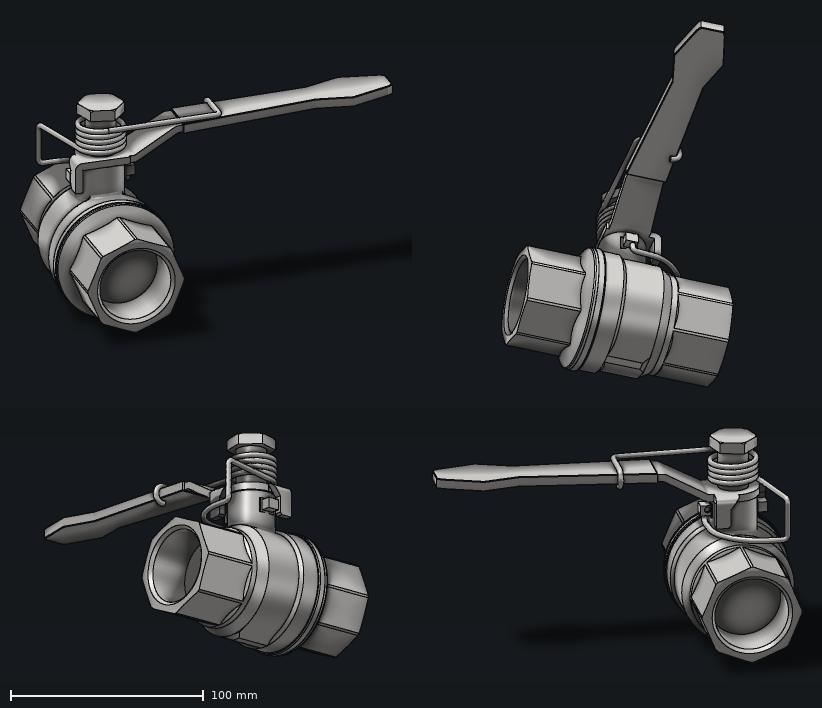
import cadquery as cq
import math


BODY_LEFT = -52.4
BODY_LENGTH = 110.0
BODY_RIGHT = BODY_LEFT + BODY_LENGTH
END_CORNER_RADIUS = 53.0 / 2
END_CORNER_STRIP = 1.4
END_SIDES = 8
SPIGOT_LEFT = -22.2
SPIGOT_RIGHT = 28.2
SPIGOT_BEVEL = 1.5
SPIGOT_BEVEL_DROP = 2.0
SHOULDER_START = -18.9
WAIST_LEFT = -13.5
WAIST_RIGHT = 6.9
WAIST_RADIUS = 29.8
HOUSING_LEFT = 8.8
HOUSING_RADIUS = 63.0 / 2
FLANGE_LEFT = 18.6
FLANGE_RADIUS = 65.0 / 2
FLANGE_RIGHT = 22.6
NUT_RADIUS = 64.5 / 2
NUT_RIGHT = 24.8
BORE_RADIUS = 38.95 / 2
BORE_DEPTH = 23.5
BORE_CHAMFER = 1.8
END_BEVEL_RADIUS = 24.7
END_BEVEL_DEPTH = 0.3
RIM_BEVEL_LENGTH = 0.8
RIM_BEVEL_DROP = 0.4
PAD_LEFT = -10.5
PAD_SIDE_ANGLE = 24.0

NECK_RADIUS = 25.0 / 2
NECK_FILLET = 2.0
PLATE_THICKNESS = 4.0
PLATE_TOP = 52.4
PLATE_BOTTOM = PLATE_TOP - PLATE_THICKNESS
SHAFT_RADIUS = 16.0 / 2
HEAD_BOTTOM = 74.2
HEAD_TOP = 112.7 - FLANGE_RADIUS
HEAD_ACROSS_FLATS = 22.0
HEAD_TURN = 17.0
HEAD_CHAMFER = 0.7
HEAD_CORNER_TRIM = 0.9

LUG_BOTTOM = 37.8
LUG_TOP = 43.4
LUG_WIDTH = 6.6
LUG_REACH = 17.8
COLLAR_WIDTH = 9.0
COLLAR_BOTTOM = 36.8
COLLAR_TOP = 44.4
COLLAR_REACH = 12.4
LUG_HOLE_DIAMETER = 3.2
LUG_HOLE_DEPTH = 1.5
LUG_HOLE_Y = 14.1
LUG_HOLE_Z = 41.1

PLATE_LEFT = -13.6
PLATE_RIGHT = 12.2
PLATE_FRONT = -13.9
PLATE_BACK = 15.0
PLATE_ROUND = 13.8
TAB_REACH = 17.9
TAB_BOTTOM = 35.7
TAB_NEAR = 4.5
TAB_FAR = 12.2
TAB_SLANT_START = -0.5
TAB_SLANT_BOTTOM = 45.8
TAB_CORNER = 1.2
TAB_BEND = 3.8
ARM_END_Y = 38.0
ARM_RISE = 12.8
ARM_GRIP_OVERLAP = 8.0
ARM_INNER_BEND = 1.0
ARM_OUTER_BEND = ARM_INNER_BEND + PLATE_THICKNESS
ARM_NEAR_HALF_WIDTH = 10.9
ARM_FAR_HALF_WIDTH = 9.9
GRIP_TILT = 1.95
GRIP_START_Y = 41.9
GRIP_TIP_Y = 190.4 - FLANGE_RADIUS
GRIP_THICKNESS = 5.5
GRIP_STEP = 1.0
GRIP_BASE_HALF_WIDTH = 11.0
GRIP_WAIST_HALF_WIDTH = 8.5
GRIP_WAIST_Y = 115.0
GRIP_WIDEST_HALF_WIDTH = 13.5
GRIP_WIDEST_Y = 134.2
GRIP_SHOULDER_HALF_WIDTH = 7.8
GRIP_SHOULDER_Y = 155.0
GRIP_TIP_HALF_WIDTH = 6.3
GRIP_EDGE_BEVEL = 0.4
GRIP_SIDE_FILLET = 3.0

WIRE_RADIUS = 3.0 / 2
COIL_RADIUS = 12.0
COIL_BOTTOM = 56.1
COIL_TOP = 68.8
COIL_END_ANGLE = -74.7
COIL_TURNS = 4 - COIL_END_ANGLE / 360
WIRE_BEND = 2.5
HOOK_Y = 61.7
HOOK_RIGHT = 10.7
HOOK_LEFT = -12.2
HOOK_BOTTOM = 59.4
HOOK_END = -7.0
HOOK_BEND = 4.5
LOOP_X = -34.6
LOOP_Y = -22.2
LOOP_Z = 33.8
LOOP_ARC_START_Y = -14.0
LOOP_ARC_MIDDLE = (-24.9, 8.8)
LOOP_ARC_END = (-12.0, 14.6)
LOOP_TAIL_RUN = 11.0


def box(x_range, y_range, z_range):
    size = [b - a for a, b in (x_range, y_range, z_range)]
    corner = (x_range[0], y_range[0], z_range[0])
    return cq.Workplane("XY").box(*size, centered=False).translate(corner)


def octagon_bar():
    strip_half_angle = math.asin(END_CORNER_STRIP / 2 / END_CORNER_RADIUS)
    half_side_angle = math.pi / END_SIDES
    apothem = END_CORNER_RADIUS * math.cos(half_side_angle - strip_half_angle)
    bar = (
        cq.Workplane("YZ", origin=(BODY_LEFT, 0, 0))
        .polygon(END_SIDES, 2 * apothem / math.cos(half_side_angle))
        .extrude(BODY_LENGTH)
    )
    corners = (
        cq.Workplane("YZ", origin=(BODY_LEFT, 0, 0))
        .circle(END_CORNER_RADIUS)
        .extrude(BODY_LENGTH)
        .faces("<X or >X")
        .chamfer(END_BEVEL_DEPTH, END_CORNER_RADIUS - END_BEVEL_RADIUS)
    )
    return bar.intersect(corners)


def turned_body():
    bevel_radius = END_CORNER_RADIUS - SPIGOT_BEVEL_DROP
    profile = [
        (SPIGOT_LEFT - SPIGOT_BEVEL, 0),
        (SPIGOT_LEFT - SPIGOT_BEVEL, bevel_radius),
        (SPIGOT_LEFT, END_CORNER_RADIUS),
        (SHOULDER_START, END_CORNER_RADIUS),
        (WAIST_LEFT, WAIST_RADIUS),
        (WAIST_RIGHT, WAIST_RADIUS),
        (HOUSING_LEFT, HOUSING_RADIUS),
        (FLANGE_LEFT, HOUSING_RADIUS),
        (FLANGE_LEFT, FLANGE_RADIUS - RIM_BEVEL_DROP),
        (FLANGE_LEFT + RIM_BEVEL_LENGTH, FLANGE_RADIUS),
        (FLANGE_RIGHT, FLANGE_RADIUS),
        (FLANGE_RIGHT, NUT_RADIUS),
        (NUT_RIGHT - RIM_BEVEL_LENGTH, NUT_RADIUS),
        (NUT_RIGHT, NUT_RADIUS - RIM_BEVEL_DROP),
        (SPIGOT_RIGHT, END_CORNER_RADIUS),
        (SPIGOT_RIGHT + SPIGOT_BEVEL, bevel_radius),
        (SPIGOT_RIGHT + SPIGOT_BEVEL, 0),
    ]
    return cq.Workplane("XY").polyline(profile).close().revolve(360, (0, 0, 0), (1, 0, 0))


def bottom_pad():
    """Flat pad under the waist, with sloped sides tangent to the waist."""
    angle = math.radians(PAD_SIDE_ANGLE)
    tangent_y = WAIST_RADIUS * math.sin(angle)
    tangent_z = -WAIST_RADIUS * math.cos(angle)
    flat_y = (WAIST_RADIUS - HOUSING_RADIUS * math.cos(angle)) / math.sin(angle)
    section = [
        (0, 0),
        (-tangent_y, tangent_z),
        (-flat_y, -HOUSING_RADIUS),
        (flat_y, -HOUSING_RADIUS),
        (tangent_y, tangent_z),
    ]
    side = [
        (WAIST_LEFT, 0),
        (WAIST_LEFT, -WAIST_RADIUS),
        (PAD_LEFT, -HOUSING_RADIUS),
        (HOUSING_LEFT, -HOUSING_RADIUS),
        (HOUSING_LEFT, 0),
    ]
    length = HOUSING_LEFT - WAIST_LEFT
    bar = cq.Workplane("YZ", origin=(WAIST_LEFT, 0, 0)).polyline(section).close().extrude(length)
    return bar.intersect(cq.Workplane("XZ").polyline(side).close().extrude(tangent_y, both=True))


def bore(end_x, inward):
    profile = [
        (end_x, 0),
        (end_x, BORE_RADIUS + BORE_CHAMFER),
        (end_x + inward * BORE_CHAMFER, BORE_RADIUS),
        (end_x + inward * BORE_DEPTH, BORE_RADIUS),
        (end_x + inward * BORE_DEPTH, 0),
    ]
    return cq.Workplane("XY").polyline(profile).close().revolve(360, (0, 0, 0), (1, 0, 0))


def neck_on(drum_radius, left, right):
    """Neck blended into a drum of the given radius, kept between two planes across the bore."""
    reach = NECK_RADIUS + NECK_FILLET
    drum = cq.Workplane("YZ", origin=(-2 * reach, 0, 0)).circle(drum_radius).extrude(4 * reach)
    neck = cq.Workplane("XY").circle(NECK_RADIUS).extrude(PLATE_BOTTOM)
    foot = cq.selectors.BoxSelector((-reach, -reach, 0), (reach, reach, PLATE_BOTTOM - 1), boundingbox=True)
    blended = drum.union(neck).edges(foot).fillet(NECK_FILLET)
    return blended.intersect(box((left, right), (-reach, reach), (0, PLATE_BOTTOM)))


def valve_body():
    body = turned_body().union(octagon_bar()).union(bottom_pad())
    body = body.union(neck_on(WAIST_RADIUS, WAIST_LEFT, HOUSING_LEFT))
    body = body.union(neck_on(HOUSING_RADIUS, HOUSING_LEFT, FLANGE_LEFT))
    return body.cut(bore(BODY_LEFT, 1)).cut(bore(BODY_RIGHT, -1))


def stem_and_head():
    shaft_length = HEAD_BOTTOM - PLATE_BOTTOM
    shaft = cq.Workplane("XY", origin=(0, 0, PLATE_BOTTOM)).circle(SHAFT_RADIUS).extrude(shaft_length)
    height = HEAD_TOP - HEAD_BOTTOM
    across_corners = HEAD_ACROSS_FLATS / math.cos(math.pi / 6)
    head = cq.Workplane("XY", origin=(0, 0, HEAD_BOTTOM)).polygon(6, across_corners).extrude(height)
    head = head.rotate((0, 0, 0), (0, 0, 1), HEAD_TURN)
    rim = (
        cq.Workplane("XY", origin=(0, 0, HEAD_BOTTOM))
        .circle(across_corners / 2)
        .extrude(height)
        .faces(">Z")
        .chamfer(HEAD_CHAMFER, HEAD_CORNER_TRIM)
    )
    return shaft.union(head.intersect(rim))


def lug(side):
    """Stop lug on the neck; side is -1 for the front and 1 for the back."""
    half_tip = LUG_WIDTH / 2
    half_collar = COLLAR_WIDTH / 2
    tip = box((-half_tip, half_tip), sorted((0, side * LUG_REACH)), (LUG_BOTTOM, LUG_TOP))
    collar = box((-half_collar, half_collar), sorted((0, side * COLLAR_REACH)), (COLLAR_BOTTOM, COLLAR_TOP))
    return tip.union(collar)


def lug_hole():
    return (
        cq.Workplane("YZ", origin=(-LUG_WIDTH / 2, LUG_HOLE_Y, LUG_HOLE_Z))
        .circle(LUG_HOLE_DIAMETER / 2)
        .extrude(LUG_HOLE_DEPTH)
    )


def front_tab():
    """Tab bent down from the plate in front of the neck."""
    angle = (
        cq.Workplane("YZ", origin=(TAB_SLANT_START, 0, 0))
        .moveTo(0, PLATE_TOP)
        .lineTo(TAB_BEND - TAB_REACH, PLATE_TOP)
        .radiusArc((-TAB_REACH, PLATE_TOP - TAB_BEND), -TAB_BEND)
        .lineTo(-TAB_REACH, TAB_BOTTOM)
        .lineTo(PLATE_THICKNESS - TAB_REACH, TAB_BOTTOM)
        .lineTo(PLATE_THICKNESS - TAB_REACH, PLATE_BOTTOM)
        .lineTo(0, PLATE_BOTTOM)
        .close()
        .extrude(TAB_FAR - TAB_SLANT_START)
    )
    outline = (
        cq.Workplane("XZ")
        .moveTo(TAB_SLANT_START, PLATE_TOP)
        .lineTo(TAB_FAR, PLATE_TOP)
        .lineTo(TAB_FAR, TAB_BOTTOM)
        .lineTo(TAB_NEAR + TAB_CORNER, TAB_BOTTOM)
        .lineTo(TAB_NEAR, TAB_BOTTOM + TAB_CORNER)
        .lineTo(TAB_NEAR, TAB_SLANT_BOTTOM)
        .close()
        .extrude(TAB_REACH)
    )
    return angle.intersect(outline)


def left_tab():
    """The front tab mirrored across the plane X = Y."""
    return front_tab().rotate((0, 0, 0), (0, 0, 1), -90).mirror("XZ")


def handle_plate():
    plate = box((PLATE_LEFT, PLATE_RIGHT), (PLATE_FRONT, TAB_FAR), (PLATE_BOTTOM, PLATE_TOP))
    corner = box((PLATE_LEFT, 0), (PLATE_FRONT, 0), (PLATE_BOTTOM, PLATE_TOP))
    disc = cq.Workplane("XY", origin=(0, 0, PLATE_BOTTOM)).circle(PLATE_ROUND).extrude(PLATE_THICKNESS)
    return plate.cut(corner.cut(disc)).union(front_tab()).union(left_tab())


def handle_arm():
    """Strip that leaves the plate, climbs and runs into the grip."""
    grip_slope = math.tan(math.radians(GRIP_TILT))
    climb = math.atan2(ARM_RISE, ARM_END_Y - PLATE_BACK)
    shift = PLATE_THICKNESS * math.tan(climb / 2)
    far_y = GRIP_START_Y + ARM_GRIP_OVERLAP
    far_z = PLATE_TOP + ARM_RISE + (far_y - ARM_END_Y) * grip_slope
    side = [
        (0, PLATE_TOP),
        (PLATE_BACK, PLATE_TOP),
        (ARM_END_Y, PLATE_TOP + ARM_RISE),
        (far_y, far_z),
        (far_y, far_z - PLATE_THICKNESS),
        (ARM_END_Y + shift, PLATE_BOTTOM + ARM_RISE),
        (PLATE_BACK + shift, PLATE_BOTTOM),
        (0, PLATE_BOTTOM),
    ]
    strip = cq.Workplane("YZ").polyline(side).close().extrude(ARM_NEAR_HALF_WIDTH, both=True)
    for inner, outer in ((side[1], side[6]), (side[5], side[2])):
        strip = strip.edges(cq.selectors.NearestToPointSelector((0, *inner))).fillet(ARM_INNER_BEND)
        strip = strip.edges(cq.selectors.NearestToPointSelector((0, *outer))).fillet(ARM_OUTER_BEND)
    plan = [
        (-ARM_NEAR_HALF_WIDTH, 0),
        (ARM_NEAR_HALF_WIDTH, 0),
        (ARM_NEAR_HALF_WIDTH, PLATE_BACK),
        (ARM_FAR_HALF_WIDTH, GRIP_START_Y),
        (ARM_FAR_HALF_WIDTH, far_y),
        (-ARM_FAR_HALF_WIDTH, far_y),
        (-ARM_FAR_HALF_WIDTH, GRIP_START_Y),
        (-ARM_NEAR_HALF_WIDTH, PLATE_BACK),
    ]
    return strip.intersect(cq.Workplane("XY").polyline(plan).close().extrude(HEAD_TOP))


def grip():
    rise = (GRIP_TIP_Y - GRIP_START_Y) * math.tan(math.radians(GRIP_TILT))
    top = PLATE_TOP + ARM_RISE + GRIP_STEP
    side = [
        (GRIP_START_Y, top),
        (GRIP_TIP_Y, top + rise),
        (GRIP_TIP_Y, top + rise - GRIP_THICKNESS),
        (GRIP_START_Y, top - GRIP_THICKNESS),
    ]
    right_edge = [
        (GRIP_BASE_HALF_WIDTH, GRIP_START_Y),
        (GRIP_WAIST_HALF_WIDTH, GRIP_WAIST_Y),
        (GRIP_WIDEST_HALF_WIDTH, GRIP_WIDEST_Y),
        (GRIP_SHOULDER_HALF_WIDTH, GRIP_SHOULDER_Y),
        (GRIP_TIP_HALF_WIDTH, GRIP_TIP_Y),
    ]
    left_edge = [(-x, y) for x, y in reversed(right_edge)]
    slab = cq.Workplane("YZ").polyline(side).close().extrude(GRIP_WIDEST_HALF_WIDTH, both=True)
    plan = cq.Workplane("XY").polyline(right_edge + left_edge).close().extrude(HEAD_TOP)
    sides = cq.selectors.BoxSelector(
        (-HEAD_TOP, GRIP_WIDEST_Y - 1, 0),
        (HEAD_TOP, GRIP_WIDEST_Y + 1, HEAD_TOP),
    )
    plan = plan.edges("|Z").edges(sides).fillet(GRIP_SIDE_FILLET)
    return slab.intersect(plan).edges("not |Z").chamfer(GRIP_EDGE_BEVEL)


def rounded_path(points, bends):
    """Edges through the points, with each inner corner rounded to its own bend radius."""
    points = [cq.Vector(*p) for p in points]
    edges = []
    start = points[0]
    for before, corner, after, bend in zip(points, points[1:], points[2:], bends):
        arriving = (corner - before).normalized()
        leaving = (after - corner).normalized()
        setback = bend * math.tan(arriving.getAngle(leaving) / 2)
        arc_start = corner - arriving * setback
        arc_end = corner + leaving * setback
        edges.append(cq.Edge.makeLine(start, arc_start))
        edges.append(cq.Edge.makeTangentArc(arc_start, arriving, arc_end))
        start = arc_end
    edges.append(cq.Edge.makeLine(start, points[-1]))
    return edges


def wire_along(edges):
    path = cq.Wire.assembleEdges(edges)
    plane = cq.Plane(origin=path.startPoint(), normal=edges[0].tangentAt(0))
    return cq.Workplane(plane).circle(WIRE_RADIUS).sweep(cq.Workplane(path))


def spring_coil():
    height = COIL_TOP - COIL_BOTTOM
    helix = cq.Wire.makeHelix(height / COIL_TURNS, height, COIL_RADIUS)
    section = cq.Workplane("XZ", origin=(COIL_RADIUS, 0, 0)).circle(WIRE_RADIUS)
    coil = section.sweep(cq.Workplane(helix), isFrenet=True)
    return coil.translate((0, 0, COIL_BOTTOM)).rotate((0, 0, 0), (0, 0, 1), COIL_END_ANGLE)


def spring_hook():
    """Upper end of the spring, wrapped over the grip."""
    points = [
        (COIL_RADIUS, 0, COIL_TOP),
        (HOOK_RIGHT, HOOK_Y, COIL_TOP),
        (HOOK_LEFT, HOOK_Y, COIL_TOP),
        (HOOK_LEFT, HOOK_Y, HOOK_BOTTOM),
        (HOOK_END, HOOK_Y, HOOK_BOTTOM),
    ]
    return wire_along(rounded_path(points, [WIRE_BEND, HOOK_BEND, HOOK_BEND]))


def spring_loop():
    """Lower end of the spring, led round the neck into the back lug."""
    angle = math.radians(COIL_END_ANGLE)
    points = [
        (COIL_RADIUS * math.cos(angle), COIL_RADIUS * math.sin(angle), COIL_BOTTOM),
        (LOOP_X, LOOP_Y, COIL_BOTTOM),
        (LOOP_X, LOOP_Y, LOOP_Z),
        (LOOP_X, LOOP_ARC_START_Y, LOOP_Z),
    ]
    edges = rounded_path(points, [WIRE_BEND, WIRE_BEND])
    sweep_start = cq.Vector(*points[-1])
    sweep_middle = cq.Vector(*LOOP_ARC_MIDDLE, LOOP_Z)
    sweep_end = cq.Vector(*LOOP_ARC_END, LOOP_Z)
    edges.append(cq.Edge.makeTangentArc(sweep_start, cq.Vector(0, 1, 0), sweep_middle))
    edges.append(cq.Edge.makeTangentArc(sweep_middle, edges[-1].tangentAt(1), sweep_end))
    tail_corner = sweep_end + edges[-1].tangentAt(1) * LOOP_TAIL_RUN
    tail_end = tail_corner + cq.Vector(0, 0, LUG_BOTTOM + WIRE_RADIUS - LOOP_Z)
    edges.extend(rounded_path([p.toTuple() for p in (sweep_end, tail_corner, tail_end)], [WIRE_BEND]))
    return wire_along(edges)


def spring():
    return spring_coil().union(spring_hook()).union(spring_loop())


valve = valve_body().union(stem_and_head()).union(lug(-1)).union(lug(1).cut(lug_hole()))
handle = handle_plate().union(handle_arm()).union(grip())
result = valve.union(handle).union(spring())